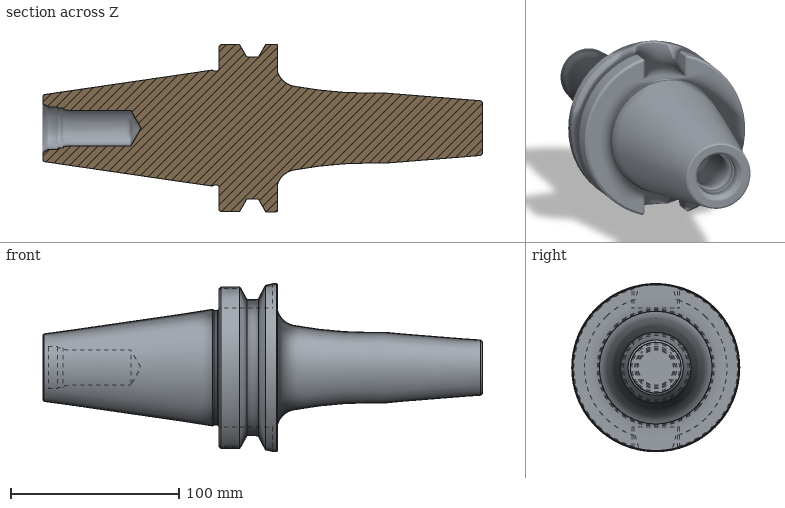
import cadquery as cq
import math

total_length = 261.8
flange_radius = 50.0

gauge_x = 101.8
gauge_radius = 34.8
taper_slope = 7 / 48
tail_radius = gauge_radius - gauge_x * taper_slope
tail_chamfer = 0.8

relief_depth = 0.8
relief_radius = gauge_radius - relief_depth
relief_corner = 0.8

flange_front_x = 104.7
flange_back_x = 139.8
front_edge_break = 1.3
back_edge_break = 0.65
groove_radius = 42.5
groove_floor_start_x = 121.5
groove_floor_end_x = 128.3
groove_flank_angle = 30
groove_flank_run = (flange_radius - groove_radius) * math.tan(math.radians(groove_flank_angle))
groove_start_x = groove_floor_start_x - groove_flank_run
groove_end_x = groove_floor_end_x + groove_flank_run

root_radius = 33.5
root_end_x = 149.2
root_end_radius = 25.1
neck_start_x = 194.8
neck_radius = 21.0
nose_cone_x = 204.5
nose_angle = 4.5
nose_chamfer = 1.3
nose_radius = neck_radius - (total_length - nose_cone_x) * math.tan(math.radians(nose_angle))

slot_half_width = 12.8
slot_floor_z = 35.3
slot_end_x = 136.7
slot_arc_x = slot_end_x - slot_half_width

mouth_radius = 15.0
mouth_lip_radius = 14.1
mouth_lip_depth = 0.4
mouth_depth = 3.5
clearance_radius = 12.5
clearance_depth = 9.0
pilot_radius = 11.8
pilot_depth = 12.0
lead_in_radius = 11.0
lead_in_end_x = 15.2
thread_radius = 10.5
thread_depth = 52.4
drill_half_angle = 60
drill_tip_x = thread_depth + thread_radius / math.tan(math.radians(drill_half_angle))

tolerance = 0.03


def revolve_about_x(outline):
    """Close an outline that starts and ends on the axis and turn it into a solid."""
    return outline.close().revolve(360, (0, 0), (1, 0))


def shank_and_flange():
    """Taper, relief and grooved flange; the front rim stays sharp until the slots are cut."""
    return revolve_about_x(
        cq.Workplane("XY")
        .lineTo(0, tail_radius - tail_chamfer)
        .lineTo(tail_chamfer, tail_radius + tail_chamfer * taper_slope)
        .lineTo(gauge_x - relief_depth, gauge_radius - relief_depth * taper_slope)
        .lineTo(gauge_x, relief_radius)
        .lineTo(flange_front_x - relief_corner, relief_radius)
        .lineTo(flange_front_x, relief_radius + relief_corner)
        .lineTo(flange_front_x, flange_radius)
        .lineTo(groove_start_x, flange_radius)
        .lineTo(groove_floor_start_x, groove_radius)
        .lineTo(groove_floor_end_x, groove_radius)
        .lineTo(groove_end_x, flange_radius)
        .lineTo(flange_back_x - back_edge_break, flange_radius)
        .lineTo(flange_back_x, flange_radius - back_edge_break)
        .lineTo(flange_back_x, 0)
    )


def nose():
    """The curved neck is an arc tangent to the straight neck; the root fillet is tangent to that arc."""
    neck_rise = root_end_radius - neck_radius
    neck_run = neck_start_x - root_end_x
    neck_arc_radius = (neck_run**2 + neck_rise**2) / (2 * neck_rise)
    half_angle = math.asin(neck_run / neck_arc_radius) / 2
    neck_middle = (
        neck_start_x - neck_arc_radius * math.sin(half_angle),
        neck_radius + neck_arc_radius * (1 - math.cos(half_angle)),
    )
    return revolve_about_x(
        cq.Workplane("XY")
        .moveTo(total_length, 0)
        .lineTo(total_length, nose_radius - nose_chamfer)
        .lineTo(total_length - nose_chamfer, nose_radius)
        .lineTo(nose_cone_x, neck_radius)
        .lineTo(neck_start_x, neck_radius)
        .threePointArc(neck_middle, (root_end_x, root_end_radius))
        .tangentArcPoint((flange_back_x, root_radius), relative=False)
        .lineTo(flange_back_x, 0)
    )


def upper_drive_slot():
    """Slot open toward the shank, with a flat floor and a half-round end."""
    return (
        cq.Workplane("XY", origin=(0, 0, slot_floor_z))
        .moveTo(gauge_x, -slot_half_width)
        .lineTo(slot_arc_x, -slot_half_width)
        .threePointArc((slot_end_x, 0), (slot_arc_x, slot_half_width))
        .lineTo(gauge_x, slot_half_width)
        .close()
        .extrude(flange_radius)
    )


def tail_bore():
    """Chamfered mouth, clearance and pilot steps, then the thread hole with a drill-point end."""
    return revolve_about_x(
        cq.Workplane("XY")
        .lineTo(0, mouth_radius)
        .lineTo(mouth_lip_depth, mouth_lip_radius)
        .lineTo(mouth_depth, clearance_radius)
        .lineTo(clearance_depth, clearance_radius)
        .lineTo(clearance_depth, pilot_radius)
        .lineTo(pilot_depth, pilot_radius)
        .lineTo(pilot_depth, lead_in_radius)
        .lineTo(lead_in_end_x, thread_radius)
        .lineTo(thread_depth, thread_radius)
        .lineTo(drill_tip_x, 0)
    )


def is_front_break_edge(edge):
    """Outer edges of the flange ahead of the groove: rim, slot mouths and the tops of the slot walls."""
    box = edge.BoundingBox()
    in_front_face = abs(box.xmin - flange_front_x) < tolerance and box.xlen < tolerance
    if in_front_face:
        is_rim = edge.geomType() == "CIRCLE" and edge.radius() > slot_floor_z
        is_slot_mouth_side = box.ylen < tolerance
        return is_rim or is_slot_mouth_side
    is_straight = edge.geomType() == "LINE"
    is_above_floor = abs(edge.Center().z) > slot_floor_z + tolerance
    return is_straight and is_above_floor and box.xmax < groove_start_x + tolerance


def is_slot_end_edge(edge):
    """Curved edges where the slots leave the outer cylinder behind the groove."""
    box = edge.BoundingBox()
    is_behind_groove = box.xmin > groove_end_x - tolerance
    is_within_slot = box.xmax < slot_end_x + tolerance
    is_on_cylinder = abs(edge.Center().z) > groove_radius and edge.geomType() != "CIRCLE"
    return is_behind_groove and is_within_slot and is_on_cylinder


body = shank_and_flange().union(nose())
for slot in (upper_drive_slot(), upper_drive_slot().mirror("XY")):
    body = body.cut(slot)

body = body.edges().filter(is_front_break_edge).chamfer(front_edge_break)
body = body.edges().filter(is_slot_end_edge).chamfer(back_edge_break)
result = body.cut(tail_bore())